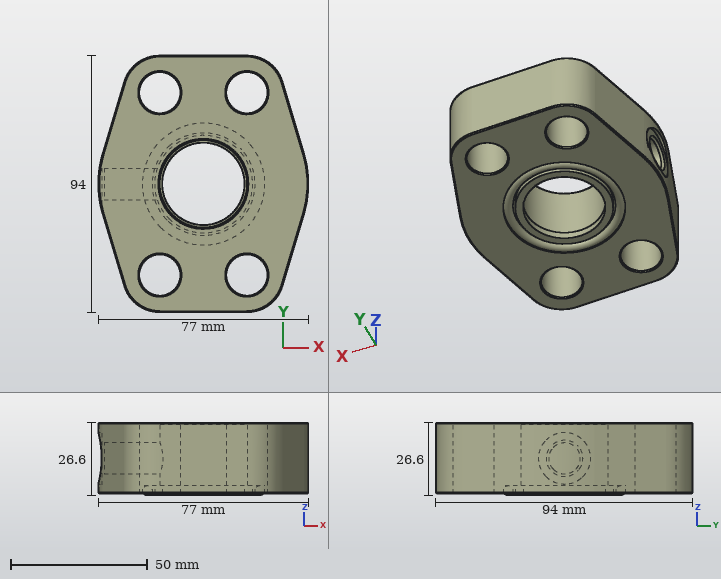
import cadquery as cq
import math

overall_height = 26.6
seal_protrusion = 0.6
flange_thickness = overall_height - seal_protrusion
flange_length = 94.0
flange_width = 77.0
edge_chamfer = 0.5

bolt_spacing_x = 31.9
bolt_spacing_y = 66.7
bolt_diameter = 15.0
bolt_chamfer = 0.5

socket_diameter = 32.0
socket_depth = 23.0
socket_chamfer = 0.6
bore_diameter = 30.1

port_diameter = 11.5
port_chamfer = 0.9
spotface_diameter = 19.0
spotface_depth = 1.2

groove_inner_diameter = 35.8
groove_outer_diameter = 44.7
seal_section_diameter = 3.6
seal_centre_radius = (groove_outer_diameter - seal_section_diameter) / 2
groove_depth = seal_section_diameter - seal_protrusion

side_radius = flange_width / 2
half_length = flange_length / 2
corner_x = bolt_spacing_x / 2
corner_y = bolt_spacing_y / 2
corner_radius = half_length - corner_y
corner_distance = math.hypot(corner_x, corner_y)
slant_angle = math.atan2(corner_y, corner_x) - math.acos((side_radius - corner_radius) / corner_distance)
corner_mid_angle = (slant_angle + math.pi / 2) / 2


def point_on_corner(angle):
    """Point on the +X +Y corner arc at an angle from +X."""
    return (
        corner_x + corner_radius * math.cos(angle),
        corner_y + corner_radius * math.sin(angle),
    )


def mirror_x(point):
    return (-point[0], point[1])


def mirror_y(point):
    return (point[0], -point[1])


def rotate_half_turn(point):
    return (-point[0], -point[1])


def make_flange_block():
    side_end = (side_radius * math.cos(slant_angle), side_radius * math.sin(slant_angle))
    corner_start = point_on_corner(slant_angle)
    corner_mid = point_on_corner(corner_mid_angle)
    corner_end = (corner_x, half_length)
    outline = (
        cq.Workplane("XY")
        .moveTo(*mirror_y(side_end))
        .threePointArc((side_radius, 0), side_end)
        .lineTo(*corner_start)
        .threePointArc(corner_mid, corner_end)
        .lineTo(*mirror_x(corner_end))
        .threePointArc(mirror_x(corner_mid), mirror_x(corner_start))
        .lineTo(*mirror_x(side_end))
        .threePointArc((-side_radius, 0), rotate_half_turn(side_end))
        .lineTo(*rotate_half_turn(corner_start))
        .threePointArc(rotate_half_turn(corner_mid), rotate_half_turn(corner_end))
        .lineTo(*mirror_y(corner_end))
        .threePointArc(mirror_y(corner_mid), mirror_y(corner_start))
        .close()
    )
    return outline.extrude(flange_thickness).faces("<Z or >Z").chamfer(edge_chamfer)


def countersink(plane, diameter, chamfer):
    """Cone that breaks a hole's rim, narrowing along the plane's normal."""
    rim_radius = diameter / 2 + chamfer
    return cq.Workplane(plane).circle(rim_radius).extrude(chamfer, taper=45)


def cut_bolt_holes(flange):
    hole = cq.Workplane("XY").circle(bolt_diameter / 2).extrude(flange_thickness)
    top_plane = cq.Plane((0, 0, flange_thickness), (1, 0, 0), (0, 0, -1))
    for plane in (cq.Plane.XY(), top_plane):
        hole = hole.union(countersink(plane, bolt_diameter, bolt_chamfer))
    for x in (-corner_x, corner_x):
        for y in (-corner_y, corner_y):
            flange = flange.cut(hole.translate((x, y, 0)))
    return flange


def cut_central_bore(flange):
    top_plane = cq.Plane((0, 0, flange_thickness), (1, 0, 0), (0, 0, -1))
    bore = cq.Workplane("XY").circle(bore_diameter / 2).extrude(flange_thickness)
    socket = cq.Workplane(top_plane).circle(socket_diameter / 2).extrude(socket_depth)
    rim = countersink(top_plane, socket_diameter, socket_chamfer)
    return flange.cut(bore).cut(socket).cut(rim)


def cut_side_port(flange):
    port_height = flange_thickness / 2
    outer_plane = cq.Plane((-side_radius, 0, port_height), (0, 1, 0), (1, 0, 0))
    seat_plane = cq.Plane((spotface_depth - side_radius, 0, port_height), (0, 1, 0), (1, 0, 0))
    spotface = cq.Workplane(outer_plane).circle(spotface_diameter / 2).extrude(spotface_depth)
    port = cq.Workplane(outer_plane).circle(port_diameter / 2).extrude(side_radius)
    rim = countersink(seat_plane, port_diameter, port_chamfer)
    return flange.cut(spotface).cut(port).cut(rim)


def cut_seal_groove(flange):
    groove = (
        cq.Workplane("XY")
        .circle(groove_outer_diameter / 2)
        .circle(groove_inner_diameter / 2)
        .extrude(groove_depth)
    )
    return flange.cut(groove)


def make_flange():
    flange = make_flange_block()
    flange = cut_bolt_holes(flange)
    flange = cut_central_bore(flange)
    flange = cut_side_port(flange)
    return cut_seal_groove(flange)


def make_seal():
    """O-ring resting on the groove floor and touching the outer groove wall."""
    section_radius = seal_section_diameter / 2
    ring = cq.Solid.makeTorus(seal_centre_radius, section_radius)
    return cq.Workplane(ring.translate(cq.Vector(0, 0, groove_depth - section_radius)))


flange = make_flange()
seal = make_seal()

result = cq.Compound.makeCompound([flange.solids().val(), seal.val()])